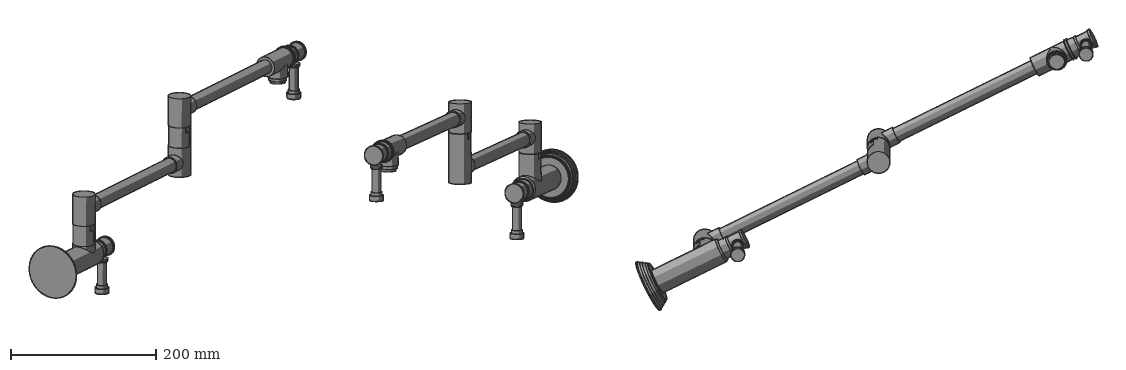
import cadquery as cq


TOTAL_LENGTH = 689.33
TOTAL_HEIGHT = 227.24
TOP_Z = 162.5
BOTTOM_Z = TOP_Z - TOTAL_HEIGHT

FLANGE_DIA = 74.17
FLANGE_STEPS = [
    (FLANGE_DIA, FLANGE_DIA, 2.0),
    (72.0, 70.0, 5.0),
    (68.0, 66.0, 8.0),
    (64.0, 61.0, 11.5),
    (59.0, 58.0, 14.0),
    (56.5, 56.5, 15.2),
]

BODY_DIA = 35.0
BODY_END_Y = 113.0
BODY_NOSE_LENGTH = 2.8
BODY_NOSE_DIA = 31.0
BASE_END_Y = 150.5

POST_DIA = 31.3
LOWER_POST_Y = 88.2
UPPER_POST_Y = 356.9
LOWER_POST_TOP_Z = 89.7
ARM_DROP = 20.0
JOINT_DROP = 42.0
STOP_HEIGHT = 29.0
STOP_DEPTH = 0.5
NOTCH_WIDTH = 11.0
NOTCH_HEIGHT = 8.0
NOTCH_DEPTH = 1.7
JOINT_GROOVE_HEIGHT = 0.6
JOINT_GROOVE_DEPTH = 0.4

TUBE_DIA = 20.0
COLLAR_DIA = 23.5
COLLAR_REACH = 27.5
LOWER_ARM_Z = LOWER_POST_TOP_Z - ARM_DROP
UPPER_ARM_Z = TOP_Z - ARM_DROP
UPPER_POST_BOTTOM_Z = LOWER_ARM_Z - ARM_DROP

SPOUT_DIA = 28.0
SPOUT_START_Y = 598.5

KNOB_DIA = 24.5
RIM_DIA = 27.0
RIM_LENGTH = 3.0
KNOB_LENGTH = 21.0
SECOND_RIM_LENGTH = 3.0
TAPER_SMALL_DIA = 25.8
BEAD_DIA = 31.0
BEAD_LENGTH = 0.9
BEAD_SPACING = 4.0
SPOUT_END_Y = 655.7

LEVER_SETBACK = 11.5
LEVER_LENGTH = -BOTTOM_Z
LEVER_ROD_DIA = 12.7
LEVER_NECK_DIA = 8.0
LEVER_COLLAR_DIA = 16.5
LEVER_COLLAR_TOP = 15.0
LEVER_COLLAR_BOTTOM = 18.0
LEVER_COLLAR_STEP_DIA = 14.5
LEVER_COLLAR_STEP_BOTTOM = 20.0
LEVER_FOOT_DIA = 19.5
LEVER_FOOT_HEIGHT = 7.5
LEVER_FOOT_CHAMFER_HEIGHT = 1.8
LEVER_FOOT_CHAMFER = 0.4
LEVER_ANKLE_DIA = 15.5
LEVER_ANKLE_HEIGHT = 12.0

NOZZLE_Y = 632.5
NOZZLE_DIA = 27.4
NOZZLE_RIM_DIA = 28.0
NOZZLE_RIM_TOP = 20.0
NOZZLE_RIM_BOTTOM = 22.5
AERATOR_DIA = 25.0
AERATOR_BOTTOM = 27.0
TIP_DIA = 21.5
TIP_BOTTOM = 30.5

VALVES = [
    (BODY_END_Y + BODY_NOSE_LENGTH, BASE_END_Y, 0),
    (SPOUT_END_Y, TOTAL_LENGTH, UPPER_ARM_Z),
]


def rod_y(dia, y_start, y_end, z):
    """Round bar along Y at height z."""
    return cq.Workplane("XZ", origin=(0, y_start, z)).circle(dia / 2).extrude(y_start - y_end)


def rod_z(dia, y, z_start, z_end):
    """Round bar along Z at distance y from the wall."""
    return cq.Workplane("XY", origin=(0, y, z_start)).circle(dia / 2).extrude(z_end - z_start)


def turned(profile, y, z, along_y):
    """Solid of revolution from (diameter, distance) points, running along +Y or down along -Z."""
    plane = cq.Plane((0, y, z), (1, 0, 0), (0, 0, 1) if along_y else (0, 1, 0))
    points = [(dia / 2, distance) for dia, distance in profile]
    closed = [(0, points[0][1])] + points + [(0, points[-1][1])]
    return cq.Workplane(plane).polyline(closed).close().revolve(360, (0, 0), (0, 1))


def wall_flange():
    profile = []
    step_start = 0
    for wall_dia, room_dia, step_end in FLANGE_STEPS:
        profile += [(wall_dia, step_start), (room_dia, step_end)]
        step_start = step_end
    return turned(profile, 0, 0, True)


def base_body():
    nose_end = BODY_END_Y + BODY_NOSE_LENGTH
    profile = [(BODY_DIA, 0), (BODY_DIA, BODY_END_Y), (BODY_NOSE_DIA, nose_end)]
    return turned(profile, 0, 0, True)


def valve(start_y, end_y, z):
    """Taper and grooved knob that finish a horizontal body, from start_y to end_y."""
    knob_start = end_y - KNOB_LENGTH
    second_rim = knob_start - SECOND_RIM_LENGTH
    rim_start = end_y - RIM_LENGTH
    profile = [
        (SPOUT_DIA, start_y),
        (TAPER_SMALL_DIA, second_rim),
        (RIM_DIA, second_rim),
        (RIM_DIA, knob_start),
        (KNOB_DIA, knob_start),
        (KNOB_DIA, rim_start),
        (RIM_DIA, rim_start),
        (RIM_DIA, end_y),
    ]
    return turned(profile, 0, z, True)


def lever(valve_end_y, z):
    """Turned handle hanging straight down from a valve knob."""
    ankle_top = LEVER_LENGTH - LEVER_ANKLE_HEIGHT
    foot_top = LEVER_LENGTH - LEVER_FOOT_HEIGHT
    profile = [
        (LEVER_NECK_DIA, 0),
        (LEVER_NECK_DIA, KNOB_DIA / 2),
        (LEVER_COLLAR_DIA, LEVER_COLLAR_TOP),
        (LEVER_COLLAR_DIA, LEVER_COLLAR_BOTTOM),
        (LEVER_COLLAR_STEP_DIA, LEVER_COLLAR_BOTTOM),
        (LEVER_COLLAR_STEP_DIA, LEVER_COLLAR_STEP_BOTTOM),
        (LEVER_ROD_DIA, LEVER_COLLAR_STEP_BOTTOM),
        (LEVER_ROD_DIA, ankle_top),
        (LEVER_ANKLE_DIA, ankle_top),
        (LEVER_ANKLE_DIA, foot_top),
        (LEVER_FOOT_DIA, foot_top),
        (LEVER_FOOT_DIA, LEVER_LENGTH - LEVER_FOOT_CHAMFER_HEIGHT),
        (LEVER_FOOT_DIA - 2 * LEVER_FOOT_CHAMFER, LEVER_LENGTH),
    ]
    return turned(profile, valve_end_y - LEVER_SETBACK, z, False)


def post(y, z_bottom, z_top):
    """Swivel post with a joint line, a rotation stop on its wall side and two side notches."""
    joint_z = z_top - JOINT_DROP
    body = rod_z(POST_DIA, y, z_bottom, z_top)
    core_dia = POST_DIA - 2 * JOINT_GROOVE_DEPTH
    groove = rod_z(POST_DIA, y, joint_z - JOINT_GROOVE_HEIGHT, joint_z)
    body = body.cut(groove.cut(rod_z(core_dia, y, joint_z - JOINT_GROOVE_HEIGHT, joint_z)))

    stop_bottom = joint_z - STOP_HEIGHT
    stop_ring = rod_z(POST_DIA, y, stop_bottom, joint_z)
    stop_ring = stop_ring.cut(rod_z(POST_DIA - 2 * STOP_DEPTH, y, stop_bottom, joint_z))
    wall_side = cq.Workplane("XY", origin=(0, y - POST_DIA / 2, stop_bottom)).box(
        POST_DIA, POST_DIA, STOP_HEIGHT, centered=(True, True, False)
    )
    body = body.cut(stop_ring.intersect(wall_side))

    notches = cq.Workplane("XY", origin=(0, y, joint_z - NOTCH_HEIGHT)).box(
        POST_DIA, NOTCH_WIDTH, NOTCH_HEIGHT, centered=(True, True, False)
    )
    notch_core = rod_z(POST_DIA - 2 * NOTCH_DEPTH, y, joint_z - NOTCH_HEIGHT, joint_z)
    return body.cut(notches.cut(notch_core))


def nozzle():
    profile = [
        (NOZZLE_DIA, 0),
        (NOZZLE_RIM_DIA, NOZZLE_RIM_TOP),
        (NOZZLE_RIM_DIA, NOZZLE_RIM_BOTTOM),
        (AERATOR_DIA, NOZZLE_RIM_BOTTOM),
        (AERATOR_DIA, AERATOR_BOTTOM),
        (TIP_DIA, AERATOR_BOTTOM),
        (TIP_DIA, TIP_BOTTOM),
    ]
    return turned(profile, NOZZLE_Y, UPPER_ARM_Z, False)


def lower_arm():
    tube = rod_y(TUBE_DIA, LOWER_POST_Y, UPPER_POST_Y, LOWER_ARM_Z)
    near_collar = rod_y(COLLAR_DIA, LOWER_POST_Y, LOWER_POST_Y + COLLAR_REACH, LOWER_ARM_Z)
    far_collar = rod_y(COLLAR_DIA, UPPER_POST_Y - COLLAR_REACH, UPPER_POST_Y, LOWER_ARM_Z)
    return tube.union(near_collar).union(far_collar)


def upper_arm():
    tube = rod_y(TUBE_DIA, UPPER_POST_Y, SPOUT_START_Y, UPPER_ARM_Z)
    collar = rod_y(COLLAR_DIA, UPPER_POST_Y, UPPER_POST_Y + COLLAR_REACH, UPPER_ARM_Z)
    spout = rod_y(SPOUT_DIA, SPOUT_START_Y, SPOUT_END_Y, UPPER_ARM_Z)
    arm = tube.union(collar).union(spout)
    for bead_end in (SPOUT_END_Y, SPOUT_END_Y - BEAD_SPACING):
        arm = arm.union(rod_y(BEAD_DIA, bead_end - BEAD_LENGTH, bead_end, UPPER_ARM_Z))
    return arm


result = wall_flange().union(base_body())
result = result.union(post(LOWER_POST_Y, 0, LOWER_POST_TOP_Z))
result = result.union(post(UPPER_POST_Y, UPPER_POST_BOTTOM_Z, TOP_Z))
result = result.union(lower_arm()).union(upper_arm()).union(nozzle())
for start_y, end_y, axis_z in VALVES:
    result = result.union(valve(start_y, end_y, axis_z)).union(lever(end_y, axis_z))